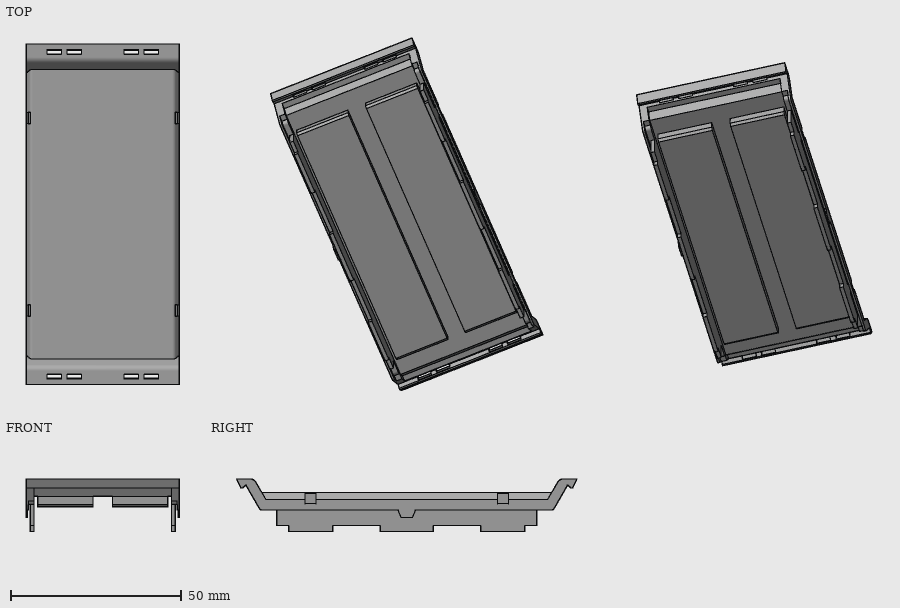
import cadquery as cq
import math

WIDTH = 45.0
LENGTH = 100.0
HEIGHT = 15.5
HALF_WIDTH = WIDTH / 2
HALF_LENGTH = LENGTH / 2

WALL_ANGLE = math.radians(60)
FLOOR_Z = -6.05
FLOOR_HALF_LENGTH = 41.35
SKIRT_BOTTOM_Z = -9.2
WALL_THICKNESS = 3.0
FLANGE_BEND_RADIUS = 2.0
WALL_FOOT_RADIUS = 1.0
LIP_BOTTOM_Z = -2.75
LIP_TIP_OUTER_Y = 48.7
LIP_TIP_INNER_Y = 48.2
LIP_VALLEY_Z = -1.85

DECK_EDGE_ANGLE = math.radians(56)
DECK_TOP_Z = -4.0
DECK_HALF_WIDTH = HALF_WIDTH - (DECK_TOP_Z - FLOOR_Z) / math.tan(DECK_EDGE_ANGLE)
DECK_EDGE_RADIUS = 1.2

POCKET_HALF_WIDTH = 20.15
POCKET_CEILING_Z = -5.15
SHEET_THICKNESS = 1.5
SKIRT_THICKNESS = 0.65
GROOVE_STEP_Z = -6.45
GROOVE_CEILING_Z = -7.6
GROOVE_CORNER_RADIUS = 1.0
SKIRT_INNER_X = HALF_WIDTH - SKIRT_THICKNESS

RAIL_THICKNESS = 1.15
RAIL_OUTER_X = POCKET_HALF_WIDTH + RAIL_THICKNESS
RAIL_HALF_LENGTH = 38.2
RAIL_BOTTOM_Z = -13.75
END_FOOT_LENGTH = 13.0
MIDDLE_FOOT_LENGTH = 15.7
END_FOOT_Y = 28.2

TAB_BOTTOM_Z = -11.3
TAB_THICKNESS = 0.45
TAB_TOP_WIDTH = 5.1
TAB_BOTTOM_WIDTH = 3.4

WINDOW_Y = 28.25
WINDOW_LENGTH = 3.3
WINDOW_BOTTOM_Z = -7.3

SLOT_LENGTH = 4.2
SLOT_X = (8.35, 14.23)
SLOT_INNER_Y = 47.0
SLOT_OUTER_Y = 48.35
SLOT_OUTER_LEAN = 0.3

BLOCK_WIDTH = 16.3
BLOCK_X = 10.95
BLOCK_BOTTOM_Z = -8.2
BLOCK_CHAMFER = 0.7


def wall_face_y(z, thickness=0.0):
    """Y of the end wall at height z, measured on the face `thickness` outside the inner face."""
    return FLOOR_HALF_LENGTH + (z - FLOOR_Z) / math.tan(WALL_ANGLE) + thickness / math.sin(WALL_ANGLE)


def box(x_range, y_range, z_range):
    """Box between the given limits."""
    size = [high - low for low, high in (x_range, y_range, z_range)]
    corner = cq.Vector(x_range[0], y_range[0], z_range[0])
    return cq.Workplane("XY").box(*size, centered=False).translate(corner)


def extrude_yz(points, x_start, x_end):
    """Prism along X of a closed (y, z) outline."""
    outline = cq.Workplane("YZ", origin=(x_start, 0, 0)).polyline(points).close()
    return outline.extrude(x_end - x_start)


def mirrored(points):
    """Outline running from +Y to the matching points on -Y."""
    return points + [(-y, z) for y, z in reversed(points)]


def both_sides(solid):
    """The solid together with its mirror image across X = 0."""
    return solid.union(solid.mirror("YZ"))


def make_tray():
    """Solid tray whose side profile is the same across the whole width."""
    half = [
        (wall_face_y(SKIRT_BOTTOM_Z, WALL_THICKNESS), SKIRT_BOTTOM_Z),
        (wall_face_y(LIP_VALLEY_Z, WALL_THICKNESS), LIP_VALLEY_Z),
        (LIP_TIP_INNER_Y, LIP_BOTTOM_Z),
        (LIP_TIP_OUTER_Y, LIP_BOTTOM_Z),
        (HALF_LENGTH, 0),
        (wall_face_y(0), 0),
        (FLOOR_HALF_LENGTH, FLOOR_Z),
    ]
    tray = extrude_yz(mirrored(half), -HALF_WIDTH, HALF_WIDTH)
    bend_y = wall_face_y(0)
    foot_y = wall_face_y(SKIRT_BOTTOM_Z, WALL_THICKNESS)
    for side in (1, -1):
        bend = cq.selectors.NearestToPointSelector((0, side * bend_y, 0))
        tray = tray.edges(bend).fillet(FLANGE_BEND_RADIUS)
        foot = cq.selectors.NearestToPointSelector((0, side * foot_y, SKIRT_BOTTOM_Z))
        tray = tray.edges(foot).fillet(WALL_FOOT_RADIUS)
    return tray


def make_deck():
    """Deck with sloped, rounded long edges; its ends run into the sloped end walls."""
    deck = (
        cq.Workplane("XZ")
        .polyline([
            (-HALF_WIDTH, FLOOR_Z),
            (HALF_WIDTH, FLOOR_Z),
            (DECK_HALF_WIDTH, DECK_TOP_Z),
            (-DECK_HALF_WIDTH, DECK_TOP_Z),
        ])
        .close()
        .extrude(HALF_LENGTH, both=True)
        .edges("|Y and >Z")
        .fillet(DECK_EDGE_RADIUS)
    )
    between_walls = mirrored([
        (FLOOR_HALF_LENGTH, FLOOR_Z),
        (wall_face_y(DECK_TOP_Z), DECK_TOP_Z),
    ])
    return deck.intersect(extrude_yz(between_walls, -HALF_WIDTH, HALF_WIDTH))


def make_pocket():
    """Space below the central sheet, which keeps one thickness along the end walls."""
    roof_y = wall_face_y(POCKET_CEILING_Z, SHEET_THICKNESS)
    half = [
        (HALF_LENGTH, -HEIGHT),
        (HALF_LENGTH, LIP_BOTTOM_Z),
        (wall_face_y(LIP_BOTTOM_Z, SHEET_THICKNESS), LIP_BOTTOM_Z),
        (roof_y, POCKET_CEILING_Z),
    ]
    return extrude_yz(mirrored(half), -POCKET_HALF_WIDTH, POCKET_HALF_WIDTH)


def make_grooves():
    """Space inside the skirts, open at both ends."""
    roof_y = wall_face_y(GROOVE_CEILING_Z, SHEET_THICKNESS)
    half = [
        (HALF_LENGTH, -HEIGHT),
        (HALF_LENGTH, GROOVE_STEP_Z),
        (wall_face_y(GROOVE_STEP_Z, SHEET_THICKNESS), GROOVE_STEP_Z),
        (roof_y, GROOVE_CEILING_Z),
    ]
    groove = extrude_yz(mirrored(half), POCKET_HALF_WIDTH, SKIRT_INNER_X)
    for side in (1, -1):
        middle_x = (POCKET_HALF_WIDTH + SKIRT_INNER_X) / 2
        corner = cq.selectors.NearestToPointSelector((middle_x, side * roof_y, GROOVE_CEILING_Z))
        groove = groove.edges(corner).fillet(GROOVE_CORNER_RADIUS)
    return both_sides(groove)


def make_rails():
    thickness = (POCKET_HALF_WIDTH, RAIL_OUTER_X)
    rail = box(thickness, (-RAIL_HALF_LENGTH, RAIL_HALF_LENGTH), (RAIL_BOTTOM_Z, FLOOR_Z))
    feet = (
        (-END_FOOT_Y, END_FOOT_LENGTH),
        (0, MIDDLE_FOOT_LENGTH),
        (END_FOOT_Y, END_FOOT_LENGTH),
    )
    for y, length in feet:
        rail = rail.union(box(thickness, (y - length / 2, y + length / 2), (-HEIGHT, RAIL_BOTTOM_Z)))
    return both_sides(rail)


def make_tabs():
    half = [(TAB_TOP_WIDTH / 2, SKIRT_BOTTOM_Z), (TAB_BOTTOM_WIDTH / 2, TAB_BOTTOM_Z)]
    return both_sides(extrude_yz(mirrored(half), HALF_WIDTH - TAB_THICKNESS, HALF_WIDTH))


def make_blocks():
    block = box(
        (BLOCK_X - BLOCK_WIDTH / 2, BLOCK_X + BLOCK_WIDTH / 2),
        (-RAIL_HALF_LENGTH, RAIL_HALF_LENGTH),
        (BLOCK_BOTTOM_Z, POCKET_CEILING_Z),
    )
    return both_sides(block.edges("|X and <Z").chamfer(BLOCK_CHAMFER))


def make_windows():
    """Notches in the deck edges, each with a slit down into the groove beside the rail."""
    windows = cq.Workplane("XY")
    for y in (-WINDOW_Y, WINDOW_Y):
        y_range = (y - WINDOW_LENGTH / 2, y + WINDOW_LENGTH / 2)
        notch = box((RAIL_OUTER_X, HALF_WIDTH), y_range, (WINDOW_BOTTOM_Z, DECK_TOP_Z))
        slit = box((RAIL_OUTER_X, SKIRT_INNER_X), y_range, (GROOVE_CEILING_Z, WINDOW_BOTTOM_Z))
        windows = windows.union(notch).union(slit)
    return both_sides(windows)


def make_slots():
    """Flange slots whose outer wall leans inwards towards the bottom."""
    outline = [
        (SLOT_INNER_Y, 0),
        (SLOT_OUTER_Y, 0),
        (SLOT_OUTER_Y - SLOT_OUTER_LEAN, LIP_BOTTOM_Z),
        (SLOT_INNER_Y, LIP_BOTTOM_Z),
    ]
    slots = cq.Workplane("XY")
    for x in SLOT_X:
        slot = extrude_yz(outline, x - SLOT_LENGTH / 2, x + SLOT_LENGTH / 2)
        slots = slots.union(slot).union(slot.mirror("XZ"))
    return both_sides(slots)


shell = make_tray().union(make_deck()).cut(make_pocket()).cut(make_grooves())
body = shell.union(make_rails()).union(make_tabs()).union(make_blocks())
result = body.cut(make_windows()).cut(make_slots())